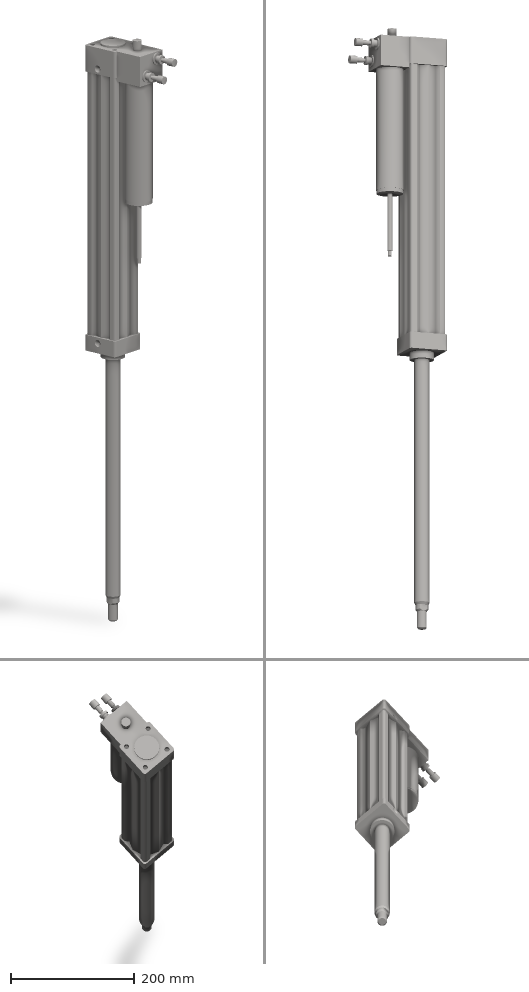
import cadquery as cq


TOTAL_HEIGHT = 991.0
TOTAL_LENGTH = 153.0
BLOCK_LENGTH = 64.0
BLOCK_WIDTH = 65.0
BLOCK_FILLET = 4.0

HEAD_BOTTOM = 930.0
HEAD_TOP = 974.0
GEARBOX_BOTTOM = 924.0
GEARBOX_WIDTH = 56.0
GEARBOX_LENGTH = 50.0
COVER_DIAMETER = 41.0
COVER_HEIGHT = 3.0
BOLT_HOLE_DIAMETER = 8.0
BOLT_HOLE_DEPTH = 8.0
BOLT_SPACING = 47.0

VENT_DIAMETER = 12.0
VENT_DEPTH = 6.0
VENT_OFFSET = 5.0
HEAD_VENT_HEIGHT = 9.0
CAP_VENT_DROP = 10.0

KNOB_DIAMETER = 15.0
KNOB_HEIGHT = 11.0
KNOB_NECK_DIAMETER = 14.0
KNOB_OFFSET = 4.0

MOTOR_DIAMETER = 45.0
MOTOR_BOTTOM = 717.0
MOTOR_END_HEIGHT = 6.0
MOTOR_END_DIAMETER = 44.0
MOTOR_OFFSET = 55.5
SHAFT_DIAMETER = 8.0
SHAFT_BOTTOM = 614.0
SHAFT_TIP_DIAMETER = 6.0
SHAFT_TIP_LENGTH = 9.0

FLANGE_DIAMETER = 20.0
FLANGE_LENGTH = 2.0
COLLAR_DIAMETER = 12.0
COLLAR_LENGTH = 6.0
NUT_DIAMETER = 15.0
NUT_LENGTH = 4.0
CABLE_NECK_DIAMETER = 6.0
CABLE_NECK_LENGTH = 4.0
CABLE_DIAMETER = 8.0
PLUG_DIAMETER = 13.0
PLUG_LENGTH = 12.0
CONNECTOR_Y = 13.0
UPPER_CONNECTOR_DROP = 12.0
CONNECTOR_DROP_STEP = 24.0

TUBE_WIDTH = 60.0
TUBE_FILLET = 4.0
GROOVE_OUTER = 20.0
GROOVE_INNER = 14.0
GROOVE_DEPTH = 5.0

CAP_BOTTOM = 458.0
CAP_TOP = 485.0
NECK_DIAMETER = 40.0
NECK_BOTTOM = 446.0

ROD_DIAMETER = 25.0
ROD_SHOULDER = 44.0
ROD_TAPER_LENGTH = 4.0
WRENCH_DIAMETER = 21.0
WRENCH_ACROSS = 17.0
WRENCH_BOTTOM = 32.0
THREAD_DIAMETER = 16.0
THREAD_CHAMFER = 2.0
THREAD_RUNOUT = 3.0

BLOCK_SIDE = -TOTAL_LENGTH / 2
AXIS_X = BLOCK_SIDE + BLOCK_LENGTH / 2
GEARBOX_LEFT = BLOCK_SIDE + BLOCK_LENGTH
GEARBOX_RIGHT = GEARBOX_LEFT + GEARBOX_LENGTH
MOTOR_X = AXIS_X + MOTOR_OFFSET
KNOB_X = MOTOR_X - KNOB_OFFSET


def disc(x, diameter, bottom, top):
    """Upright cylinder centred on the XZ plane."""
    return cq.Workplane("XY", origin=(x, 0, bottom)).circle(diameter / 2).extrude(top - bottom)


def end_block(bottom, top):
    """Block on the cylinder axis with rounded upright edges."""
    block = cq.Workplane("XY", origin=(AXIS_X, 0, bottom)).rect(BLOCK_LENGTH, BLOCK_WIDTH)
    return block.extrude(top - bottom).edges("|Z").fillet(BLOCK_FILLET)


def vent(height):
    """Conical recess running into the -Y side of a block."""
    mouth = cq.Vector(AXIS_X - VENT_OFFSET, -BLOCK_WIDTH / 2, height)
    cone = cq.Solid.makeCone(VENT_DIAMETER / 2, 0, VENT_DEPTH, mouth, cq.Vector(0, 1, 0))
    return cq.Workplane(obj=cone)


def gearbox():
    middle = (GEARBOX_LEFT + GEARBOX_RIGHT) / 2
    main = cq.Workplane("XY", origin=(middle, 0, GEARBOX_BOTTOM))
    main = main.rect(GEARBOX_LENGTH, GEARBOX_WIDTH).extrude(HEAD_TOP - GEARBOX_BOTTOM)
    bridge = cq.Workplane("XY", origin=(GEARBOX_LEFT, 0, HEAD_BOTTOM))
    bridge = bridge.rect(2 * BLOCK_FILLET, GEARBOX_WIDTH).extrude(HEAD_TOP - HEAD_BOTTOM)
    return main.union(bridge)


def knob():
    rim = TOTAL_HEIGHT - KNOB_HEIGHT
    neck = disc(KNOB_X, KNOB_NECK_DIAMETER, HEAD_TOP, rim)
    return neck.union(disc(KNOB_X, KNOB_DIAMETER, rim, TOTAL_HEIGHT))


def motor():
    end_top = MOTOR_BOTTOM + MOTOR_END_HEIGHT
    tip_top = SHAFT_BOTTOM + SHAFT_TIP_LENGTH
    casing = disc(MOTOR_X, MOTOR_DIAMETER, end_top, GEARBOX_BOTTOM)
    end = disc(MOTOR_X, MOTOR_END_DIAMETER, MOTOR_BOTTOM, end_top)
    shaft = disc(MOTOR_X, SHAFT_DIAMETER, tip_top, MOTOR_BOTTOM)
    tip = disc(MOTOR_X, SHAFT_TIP_DIAMETER, SHAFT_BOTTOM, tip_top)
    return casing.union(end).union(shaft).union(tip)


def connector(y, z):
    """Flange, collar, nut, cable and plug in a row along +X."""
    plug_start = TOTAL_LENGTH / 2 - PLUG_LENGTH
    nut_end = GEARBOX_RIGHT + FLANGE_LENGTH + COLLAR_LENGTH + NUT_LENGTH
    cable_length = plug_start - nut_end - CABLE_NECK_LENGTH
    row = cq.Workplane("YZ", origin=(GEARBOX_RIGHT, y, z))
    row = row.circle(FLANGE_DIAMETER / 2).extrude(FLANGE_LENGTH)
    for diameter, length in (
        (COLLAR_DIAMETER, COLLAR_LENGTH),
        (NUT_DIAMETER, NUT_LENGTH),
        (CABLE_NECK_DIAMETER, CABLE_NECK_LENGTH),
        (CABLE_DIAMETER, cable_length),
        (PLUG_DIAMETER, PLUG_LENGTH),
    ):
        row = row.faces(">X").workplane().circle(diameter / 2).extrude(length)
    return row


def make_drive_head():
    head = end_block(HEAD_BOTTOM, HEAD_TOP).union(gearbox())
    head = head.union(disc(AXIS_X, COVER_DIAMETER, HEAD_TOP, HEAD_TOP + COVER_HEIGHT))
    bolt_holes = (
        cq.Workplane("XY", origin=(AXIS_X, 0, HEAD_TOP))
        .rect(BOLT_SPACING, BOLT_SPACING, forConstruction=True)
        .vertices()
        .circle(BOLT_HOLE_DIAMETER / 2)
        .extrude(-BOLT_HOLE_DEPTH)
    )
    head = head.cut(bolt_holes).cut(vent(HEAD_BOTTOM + HEAD_VENT_HEIGHT))
    head = head.union(knob()).union(motor())
    for step, side in enumerate((1, -1)):
        height = HEAD_TOP - UPPER_CONNECTOR_DROP - step * CONNECTOR_DROP_STEP
        head = head.union(connector(side * CONNECTOR_Y, height))
    return head


def make_profile_tube():
    """Square extrusion with a low ridge between two sloped grooves on each side."""
    face = TUBE_WIDTH / 2
    floor = face - GROOVE_DEPTH
    length = HEAD_BOTTOM - CAP_TOP
    tube = cq.Workplane("XY", origin=(AXIS_X, 0, CAP_TOP)).rect(TUBE_WIDTH, TUBE_WIDTH)
    tube = tube.extrude(length).edges("|Z").fillet(TUBE_FILLET)
    groove_points = [(0, face), (GROOVE_INNER, floor), (GROOVE_OUTER, face)]
    groove = cq.Workplane("XY", origin=(AXIS_X, 0, CAP_TOP)).polyline(groove_points).close().extrude(length)
    grooves = groove.union(groove.mirror("YZ", (AXIS_X, 0, 0)))
    for quarter in range(4):
        turned = grooves.rotate((AXIS_X, 0, 0), (AXIS_X, 0, 1), 90 * quarter)
        tube = tube.cut(turned)
    return tube


def make_front_cap():
    cap = end_block(CAP_BOTTOM, CAP_TOP)
    cap = cap.union(disc(AXIS_X, NECK_DIAMETER, NECK_BOTTOM, CAP_BOTTOM))
    cap = cap.cut(disc(AXIS_X, ROD_DIAMETER, NECK_BOTTOM, CAP_TOP))
    return cap.cut(vent(CAP_TOP - CAP_VENT_DROP))


def make_rod():
    """Round rod with a tapered shoulder, two wrench flats and a threaded tip."""
    taper_end = ROD_SHOULDER - ROD_TAPER_LENGTH
    outline = [
        (0, 0),
        (THREAD_DIAMETER / 2 - THREAD_CHAMFER, 0),
        (THREAD_DIAMETER / 2, THREAD_CHAMFER),
        (THREAD_DIAMETER / 2, WRENCH_BOTTOM - THREAD_RUNOUT),
        (WRENCH_DIAMETER / 2, WRENCH_BOTTOM),
        (WRENCH_DIAMETER / 2, taper_end),
        (ROD_DIAMETER / 2, ROD_SHOULDER),
        (ROD_DIAMETER / 2, CAP_TOP),
        (0, CAP_TOP),
    ]
    rod = cq.Workplane("XZ", origin=(AXIS_X, 0, 0)).polyline(outline).close()
    rod = rod.revolve(360, (0, 0, 0), (0, 1, 0))
    flat_bottom = WRENCH_BOTTOM - THREAD_RUNOUT
    for side in (1, -1):
        flat_y = side * (WRENCH_ACROSS + ROD_DIAMETER) / 2
        flat = cq.Workplane("XY", origin=(AXIS_X, flat_y, flat_bottom))
        rod = rod.cut(flat.rect(ROD_DIAMETER, ROD_DIAMETER).extrude(taper_end - flat_bottom))
    return rod


drive_head = make_drive_head()
profile_tube = make_profile_tube()
front_cap = make_front_cap()
rod = make_rod()

result = cq.Compound.makeCompound([drive_head.val(), profile_tube.val(), front_cap.val(), rod.val()])